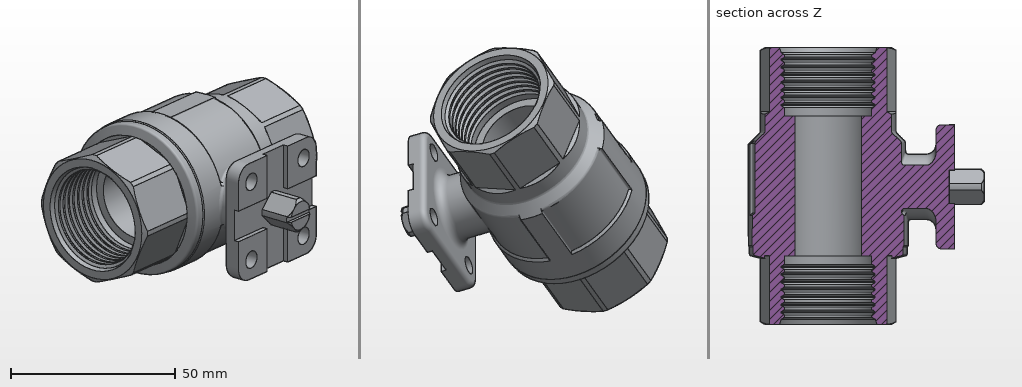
import cadquery as cq
import math


rear_end_y = 42.5
front_end_y = -42.0
corner_radius = 20.72
flat_distance = 19.43
flat_count = 8
end_chamfer_length = 0.9
end_face_radius = 19.2
rear_flat_end_y = 22.9
runout_angle = 30.0
front_flat_end_y = -21.0

body_radius = 24.4
neck_end_y = 16.6
neck_end_fillet = 0.9
ring_end_y = -17.9
ring_edge_break = 0.4
cap_radius = 24.1
cap_round_start_y = -20.2
cap_rim_radius = 23.4
cap_rim_y = -21.1
cap_face_y = -21.8

panel_radius = 23.64
panel_end_y = -8.7
side_strip_half_width = 5.5
top_strip_half_width = 3.65
top_flat_z = 24.0
panel_fillet = 0.5
shoulder_round = 1.1

bore_radius = 12.5
entry_radius = 16.6
thread_major_radius = 16.1
thread_minor_radius = 15.15
thread_pitch = 2.309
thread_turns = 7
thread_crest = 0.8
thread_root = 0.3
entry_length = 1.6
thread_relief_length = 2.5

neck_radius = 10.0
neck_inner_x = 15.5
neck_flare = 3.0
neck_root_fillet = 0.8
flange_back_x = 32.8
flange_front_x = 38.55
flange_size = 38.0
flange_corner_radius = 5.0
flange_edge_round = 1.8
bolt_circle_diameter = 36.0
bolt_hole_diameter = 5.5
channel_width = 10.0
channel_depth = 1.65

stem_tip_x = 47.6
stem_square = 9.0
stem_radius = 5.45
stem_chamfer = 0.9
slot_width = 1.65
slot_depth = 1.1

tolerance = 0.02
overlap = 1.0


def revolve_about_pipe(outline):
    """Revolve a closed (radius, y) outline round the Y axis."""
    return outline.close().revolve(360, (0, 0, 0), (0, 1, 0))


def cylinder_along_x(radius, start_x, end_x):
    return cq.Workplane("YZ").workplane(offset=start_x).circle(radius).extrude(end_x - start_x)


def make_central_body():
    neck_to_body = body_radius - corner_radius
    cap_round_depth = cap_radius - cap_rim_radius
    cap_round_length = cap_round_start_y - cap_rim_y
    cap_round_mid = (
        cap_rim_radius + cap_round_depth * math.sqrt(0.5),
        cap_round_start_y - cap_round_length * math.sqrt(0.5),
    )
    outline = (
        cq.Workplane("XY")
        .moveTo(0, rear_flat_end_y)
        .lineTo(corner_radius, rear_flat_end_y)
        .lineTo(corner_radius, neck_end_y)
        .lineTo(body_radius, neck_end_y - neck_to_body)
        .lineTo(body_radius, ring_end_y)
        .lineTo(cap_radius, ring_end_y - ring_edge_break)
        .lineTo(cap_radius, cap_round_start_y)
        .threePointArc(cap_round_mid, (cap_rim_radius, cap_rim_y))
        .lineTo(corner_radius, cap_face_y)
        .lineTo(0, cap_face_y)
    )
    neck_end = cq.selectors.BoxSelector(
        (-body_radius, neck_end_y - tolerance, -body_radius),
        (body_radius, neck_end_y + tolerance, body_radius),
        boundingbox=True,
    )
    return revolve_about_pipe(outline).edges("%CIRCLE").edges(neck_end).fillet(neck_end_fillet)


def make_pipe_end(inner_y, end_y):
    """Round bar from inner_y to end_y with a chamfered end."""
    outward = math.copysign(1, end_y)
    outline = (
        cq.Workplane("XY")
        .moveTo(0, inner_y)
        .lineTo(corner_radius, inner_y)
        .lineTo(corner_radius, end_y - outward * end_chamfer_length)
        .lineTo(end_face_radius, end_y)
        .lineTo(0, end_y)
    )
    return revolve_about_pipe(outline)


def cut_wrench_flats(body, start_y, end_y, runout_slope):
    """Mill flats from end_y in to start_y; past start_y each one ramps up to the round bar."""
    outward = math.copysign(1, end_y)
    ramp_length = runout_slope * (corner_radius - flat_distance)
    round_bar = (
        cq.Workplane("XZ", origin=(0, rear_end_y, 0))
        .circle(corner_radius)
        .extrude(rear_end_y - front_end_y)
    )
    flat_tool = (
        cq.Workplane("XY")
        .moveTo(flat_distance, end_y)
        .lineTo(flat_distance, start_y)
        .lineTo(corner_radius, start_y - outward * ramp_length)
        .lineTo(corner_radius, end_y)
        .close()
        .extrude(corner_radius, both=True)
        .intersect(round_bar)
    )
    pitch_angle = 360 / flat_count
    for index in range(flat_count):
        angle = (index + 0.5) * pitch_angle
        body = body.cut(flat_tool.rotate((0, 0, 0), (0, 1, 0), angle))
    return body


def make_strips():
    """Blocks covering the left, top and bottom strips left proud between the panels."""
    length = 4 * body_radius
    top_and_bottom = cq.Workplane("XY").box(2 * top_strip_half_width, length, length)
    left = cq.Workplane("XY").box(length, length, 2 * side_strip_half_width)
    return top_and_bottom.union(left.translate((-length / 2, 0, 0)))


def cut_panels(body):
    """Recess the panels between the strips, with rounded floors along the strip walls."""
    tool_radius = body_radius + overlap
    step_end_y = panel_end_y + body_radius - panel_radius
    tool = revolve_about_pipe(
        cq.Workplane("XY")
        .moveTo(panel_radius, neck_end_y)
        .lineTo(panel_radius, step_end_y)
        .lineTo(tool_radius, step_end_y - (tool_radius - panel_radius))
        .lineTo(tool_radius, neck_end_y)
    )

    def is_at_strip(edge):
        middle = edge.Center()
        return abs(math.hypot(middle.x, middle.z) - panel_radius) < tolerance

    body = flatten_top_strip(body.cut(tool.cut(make_strips())))
    return body.edges("|Y").filter(is_at_strip).fillet(panel_fillet)


def flatten_top_strip(body):
    top_flat_tool = (
        cq.Workplane("XZ", origin=(0, neck_end_y, top_flat_z + body_radius / 2))
        .rect(2 * top_strip_half_width, body_radius)
        .extrude(neck_end_y - panel_end_y)
    )
    return body.cut(top_flat_tool)


def round_panel_shoulders(body):
    """Round the edge between each panel floor and the 45 degree shoulder above it."""
    shoulder_y = neck_end_y - (panel_radius - corner_radius)
    half_turn = math.radians(45) / 2
    tangent_length = shoulder_round * math.tan(half_turn)
    diagonal = tangent_length * math.sqrt(0.5)
    floor_end_y = shoulder_y - tangent_length
    tool_radius = body_radius + overlap
    tool = revolve_about_pipe(
        cq.Workplane("XY")
        .moveTo(tool_radius, floor_end_y)
        .lineTo(panel_radius, floor_end_y)
        .threePointArc(
            (
                panel_radius - shoulder_round * (1 - math.cos(half_turn)),
                floor_end_y + shoulder_round * math.sin(half_turn),
            ),
            (panel_radius - diagonal, shoulder_y + diagonal),
        )
        .lineTo(tool_radius, shoulder_y + diagonal)
    )
    return body.cut(tool.cut(make_strips()))


def make_stem_neck():
    """Round neck flaring into the flange back face."""
    flare_start_x = flange_back_x - neck_flare
    diagonal = neck_flare * math.sqrt(0.5)
    outline = (
        cq.Workplane("XY")
        .moveTo(neck_inner_x, 0)
        .lineTo(neck_inner_x, neck_radius)
        .lineTo(flare_start_x, neck_radius)
        .threePointArc(
            (flare_start_x + diagonal, neck_radius + neck_flare - diagonal),
            (flange_back_x, neck_radius + neck_flare),
        )
        .lineTo(flange_back_x, 0)
        .close()
    )
    return outline.revolve(360, (0, 0, 0), (1, 0, 0))


def fillet_neck_root(body):
    """Blend the stem neck into the central body."""

    def is_neck_root(edge):
        points = edge.positions([0, 0.5, 1])
        on_neck = all(abs(math.hypot(p.y, p.z) - neck_radius) < tolerance for p in points)
        return on_neck and all(corner_radius < p.x < body_radius + tolerance for p in points)

    return body.edges().filter(is_neck_root).fillet(neck_root_fillet)


def make_flange():
    flange = (
        cq.Workplane("YZ", origin=(flange_back_x, 0, 0))
        .rect(flange_size, flange_size)
        .extrude(flange_front_x - flange_back_x)
        .edges("|X").fillet(flange_corner_radius)
        .faces("<X").edges().fillet(flange_edge_round)
    )
    bolt_spacing = bolt_circle_diameter * math.sqrt(0.5)
    bolt_holes = (
        cq.Workplane("YZ", origin=(flange_back_x, 0, 0))
        .rect(bolt_spacing, bolt_spacing, forConstruction=True)
        .vertices()
        .circle(bolt_hole_diameter / 2)
        .extrude(flange_front_x - flange_back_x)
    )
    flange = flange.cut(bolt_holes)
    for size_y, size_z in ((flange_size, channel_width), (channel_width, flange_size)):
        channel = (
            cq.Workplane("YZ", origin=(flange_front_x - channel_depth, 0, 0))
            .rect(size_y, size_z)
            .extrude(channel_depth)
        )
        flange = flange.cut(channel)
    return flange


def make_stem():
    """Square drive with rounded corners standing on edge, with a position slot in its tip."""
    start_x = flange_front_x - channel_depth
    length = stem_tip_x - start_x
    round_bar = cylinder_along_x(stem_radius, start_x, stem_tip_x).faces(">X").chamfer(stem_chamfer)
    square_bar = (
        cq.Workplane("YZ", origin=(start_x, 0, 0))
        .transformed(rotate=(0, 0, 45))
        .rect(stem_square, stem_square)
        .extrude(length)
    )
    slot = cq.Workplane("XY").box(2 * slot_depth, 2 * stem_radius, slot_width)
    return round_bar.intersect(square_bar).cut(slot.translate((stem_tip_x, 0, 0)))


def make_threaded_socket(end_y):
    """Cutter for one female thread, with a tapered entry and its turns as closed rings."""
    inward = -math.copysign(1, end_y)
    flank = (thread_pitch - thread_crest - thread_root) / 2
    y = end_y + inward * entry_length
    outline = (
        cq.Workplane("XY")
        .moveTo(0, end_y)
        .lineTo(entry_radius, end_y)
        .lineTo(thread_major_radius, y)
    )
    for _ in range(thread_turns):
        outline = (
            outline
            .lineTo(thread_minor_radius, y + inward * flank)
            .lineTo(thread_minor_radius, y + inward * (flank + thread_crest))
            .lineTo(thread_major_radius, y + inward * (2 * flank + thread_crest))
            .lineTo(thread_major_radius, y + inward * thread_pitch)
        )
        y += inward * thread_pitch
    y += inward * flank
    outline = (
        outline
        .lineTo(thread_minor_radius, y)
        .lineTo(thread_minor_radius, y + inward * thread_relief_length)
        .lineTo(0, y + inward * thread_relief_length)
    )
    return revolve_about_pipe(outline)


def make_bore():
    return (
        cq.Workplane("XZ", origin=(0, rear_end_y, 0))
        .circle(bore_radius)
        .extrude(rear_end_y - front_end_y)
    )


body = round_panel_shoulders(cut_panels(make_central_body()))
body = body.union(make_pipe_end(rear_flat_end_y - overlap, rear_end_y))
body = body.union(make_pipe_end(cap_face_y + overlap, front_end_y))
body = cut_wrench_flats(body, rear_flat_end_y, rear_end_y, math.tan(math.radians(runout_angle)))
body = cut_wrench_flats(body, front_flat_end_y, front_end_y, 0)
body = body.union(make_stem_neck())
body = fillet_neck_root(body)
body = body.union(make_flange())
body = body.union(make_stem())
for socket_end_y in (rear_end_y, front_end_y):
    body = body.cut(make_threaded_socket(socket_end_y))
result = body.cut(make_bore())